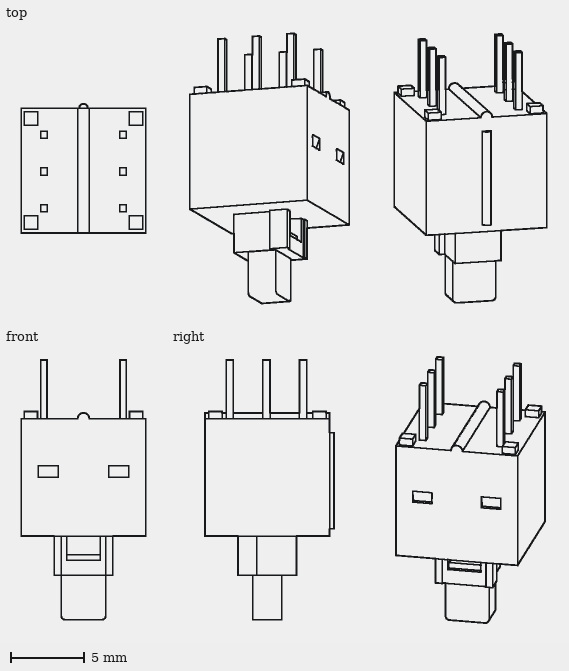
import cadquery as cq


housing_width = 8.5
housing_height = 8.0
seam_z = housing_height / 2

clip_bar_width = 6.15
clip_bar_height = 1.0
clip_stem_width = 3.45
clip_top_drop = 1.0
clip_top_z = housing_height - clip_top_drop
clip_thickness = 0.3

notch_height = 0.8
notch_depth = clip_thickness

pin_size_x = 0.45
pin_size_y = 0.5
pin_length = 4.0
pin_row_spacing = 5.4
pin_pitch = 2.5
pin_count = 3
pin_offset_y = -0.06

foot_size = 0.92
foot_height = 0.5
foot_inset_x = 0.2
foot_inset_y = 0.25

top_rib_radius = 0.4
back_rib_radius = 0.3
back_rib_bottom_z = 0.5
back_rib_top_drop = 0.95
back_rib_top_z = housing_height - back_rib_top_drop

collar_size = 4.0
collar_length = 2.67
collar_step_y = -0.72
collar_rear_width = 3.25

stem_width = 3.05
stem_depth = 2.0
stem_length = 5.7
stem_fillet = 0.3

channel_depth = 0.1
window_width = 2.3
window_height = 1.65
window_recess = 0.3
window_bore_height = 1.25


def block(x_range, y_range, z_range):
    """Box between the given (low, high) limits on each axis."""
    x0, x1 = x_range
    y0, y1 = y_range
    z0, z1 = z_range
    return cq.Workplane("XY").box(x1 - x0, y1 - y0, z1 - z0, centered=False).translate((x0, y0, z0))


def centred(width):
    """Limits of a span of the given width centred on zero."""
    return (-width / 2, width / 2)


front_y = -housing_width / 2
back_y = housing_width / 2
collar_front_y = -collar_size / 2


def make_notch(side):
    """Notch open to the front: flat floor on the seam, roof sloping down to the back."""
    notch_width = (clip_bar_width - clip_stem_width) / 2
    profile = [
        (front_y, seam_z),
        (front_y + notch_depth, seam_z),
        (front_y, seam_z + notch_height),
    ]
    centre_x = side * (clip_stem_width + notch_width) / 2
    wedge = cq.Workplane("YZ").polyline(profile).close().extrude(notch_width / 2, both=True)
    return wedge.translate((centre_x, 0, 0))


def make_pins():
    pin_points = [
        (side * pin_row_spacing / 2, pin_offset_y + (index - (pin_count - 1) / 2) * pin_pitch)
        for side in (-1, 1)
        for index in range(pin_count)
    ]
    top_face = cq.Workplane("XY", origin=(0, 0, housing_height))
    return top_face.pushPoints(pin_points).rect(pin_size_x, pin_size_y).extrude(pin_length)


def make_feet():
    spacing_x = housing_width - 2 * foot_inset_x - foot_size
    spacing_y = housing_width - 2 * foot_inset_y - foot_size
    top_face = cq.Workplane("XY", origin=(0, 0, housing_height))
    return top_face.rarray(spacing_x, spacing_y, 2, 2).rect(foot_size, foot_size).extrude(foot_height)


def make_top_rib():
    axis = cq.Workplane("XZ", origin=(0, back_y, housing_height))
    return axis.circle(top_rib_radius).extrude(housing_width)


def make_housing():
    """Both halves and all on top; unmerged faces keep the seam and clip outline as edges."""
    clip_y = (front_y, front_y + clip_thickness)
    clip_bar_z = (clip_top_z - clip_bar_height, clip_top_z)
    clip_bar = block(centred(clip_bar_width), clip_y, clip_bar_z)
    clip_stem = block(centred(clip_stem_width), clip_y, (seam_z, clip_bar_z[0]))
    clip = clip_stem.union(clip_bar)

    lower = block(centred(housing_width), centred(housing_width), (0, seam_z)).union(clip)
    upper = block(centred(housing_width), centred(housing_width), (seam_z, housing_height)).cut(clip)
    for side in (-1, 1):
        upper = upper.cut(make_notch(side))
    for detail in (make_pins(), make_feet(), make_top_rib()):
        upper = upper.union(detail)
    return lower.union(upper, clean=False)


def make_back_rib():
    foot_plane = cq.Workplane("XY", origin=(0, back_y, back_rib_bottom_z))
    return foot_plane.circle(back_rib_radius).extrude(back_rib_top_z - back_rib_bottom_z)


def make_collar():
    collar_z = (-collar_length, 0)
    front = block(centred(collar_size), (collar_front_y, collar_step_y), collar_z)
    rear = block(centred(collar_rear_width), (collar_step_y, -collar_front_y), collar_z)
    return front.union(rear)


def make_stem():
    stem = block(centred(stem_width), centred(stem_depth), (-stem_length, 0))
    return stem.edges("|Y and <Z").fillet(stem_fillet)


def make_collar_cutter():
    """Front channel, the window recessed into it, and the round bore behind the window."""
    channel_y = collar_front_y + channel_depth
    recess_y = channel_y + window_recess
    channel = block(centred(stem_width), (collar_front_y, channel_y), (-collar_length, 0))
    window = block(centred(window_width), (channel_y, recess_y), (-window_height, 0))
    bore = cq.Workplane("XY", origin=(0, recess_y, 0)).circle(window_width / 2).extrude(-window_bore_height)
    return channel.union(window).union(bore)


plunger = make_collar().union(make_stem()).cut(make_collar_cutter())

result = make_housing()
for feature in (make_back_rib(), plunger):
    result = result.union(feature, clean=False)